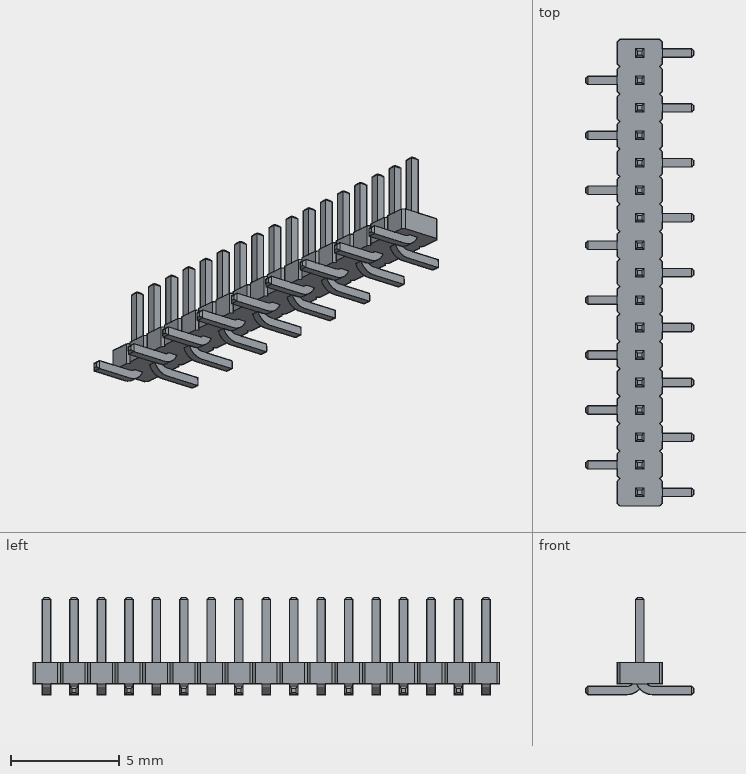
import cadquery as cq
import math

pin_count = 17
pitch = 1.27
body_width = 2.1
body_bottom = 0.5
body_height = 1.0
corner_chamfer = pitch / 10
body_length = pin_count * pitch

total_height = 4.5
lead_span = 5.0
pin_size = 0.4
tip_length = 0.1
tip_inset = 0.1
bend_inner_radius = 0.4


def make_body():
    """Row of blocks, one per pin, each with its four upright corners cut off."""
    half_width = body_width / 2
    half_pitch = pitch / 2
    right_edge = []
    for index in range(pin_count):
        center_y = pin_position(index)
        right_edge += [
            (half_width - corner_chamfer, center_y - half_pitch),
            (half_width, center_y - half_pitch + corner_chamfer),
            (half_width, center_y + half_pitch - corner_chamfer),
        ]
    right_edge.append((half_width - corner_chamfer, body_length / 2))
    left_edge = [(-x, y) for x, y in reversed(right_edge)]
    outline = cq.Workplane("XY", origin=(0, 0, body_bottom)).polyline(right_edge + left_edge)
    return outline.close().extrude(body_height)


def pin_position(index):
    """Y of a pin's center line, counted from the -Y end."""
    return (index - (pin_count - 1) / 2) * pitch


def make_tip(plane):
    """Pyramid frustum that narrows from the pin section, along the plane's normal."""
    taper = math.degrees(math.atan(tip_inset / tip_length))
    return cq.Workplane(plane).rect(pin_size, pin_size).extrude(tip_length, taper=taper)


def make_pin():
    """Upright square pin at the origin, bent at its foot into a flat lead toward +X."""
    half_size = pin_size / 2
    bend_outer_radius = bend_inner_radius + pin_size
    bend_x = half_size + bend_inner_radius
    bend_z = bend_outer_radius
    diagonal = math.sqrt(0.5)
    shank_top = total_height - tip_length
    lead_end = lead_span / 2 - tip_length

    shank = (
        cq.Workplane("XZ")
        .moveTo(-half_size, shank_top)
        .lineTo(-half_size, bend_z)
        .threePointArc(
            (bend_x - bend_outer_radius * diagonal, bend_z - bend_outer_radius * diagonal),
            (bend_x, 0),
        )
        .lineTo(lead_end, 0)
        .lineTo(lead_end, pin_size)
        .lineTo(bend_x, pin_size)
        .threePointArc(
            (bend_x - bend_inner_radius * diagonal, bend_z - bend_inner_radius * diagonal),
            (half_size, bend_z),
        )
        .lineTo(half_size, shank_top)
        .close()
        .extrude(half_size, both=True)
    )
    upper_tip = make_tip(cq.Plane(origin=(0, 0, shank_top), xDir=(1, 0, 0), normal=(0, 0, 1)))
    lead_tip = make_tip(cq.Plane(origin=(lead_end, 0, half_size), xDir=(0, 1, 0), normal=(1, 0, 0)))
    return shank.union(upper_tip).union(lead_tip)


def make_part():
    """Housing with its pins; the leads point to +X and -X in turn, starting with +X."""
    part = make_body()
    right_pin = make_pin()
    left_pin = right_pin.mirror("YZ")
    for index in range(pin_count):
        pin = right_pin if index % 2 == 0 else left_pin
        part = part.union(pin.translate((0, pin_position(index), 0)))
    return part


result = make_part()